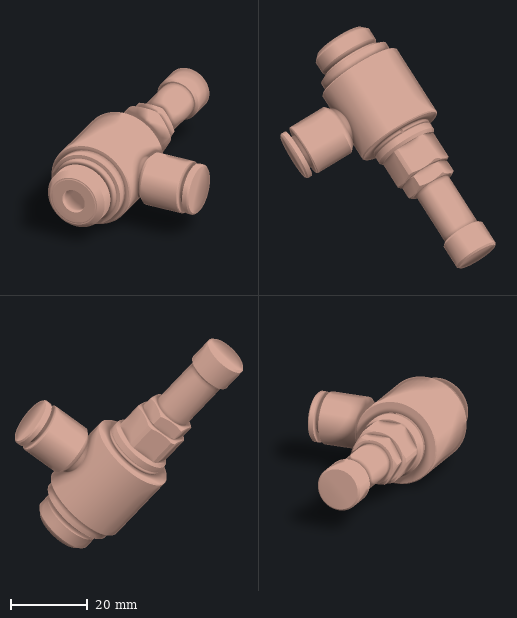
import cadquery as cq
import math


THREAD_END_Y = -20.0
THREAD_TOP_Y = -15.05
UNDERCUT_Y = -14.05
SEAL_BOTTOM_Y = -13.9
FLANGE_BOTTOM_Y = -12.9
HOUSING_BOTTOM_Y = -10.1
HOUSING_TOP_Y = 10.05
COLLAR_BOTTOM_Y = 11.4
COLLAR_TOP_Y = 14.0
LARGE_HEX_TOP_Y = 21.8
SMALL_HEX_TOP_Y = 25.8
KNOB_BOTTOM_Y = 40.5
KNOB_TOP_Y = 48.0

THREAD_DIA = 16.5
THREAD_CHAMFER = 1.5
END_LAND_BASE_DIA = 12.9
END_LAND_DIA = 12.4
END_LAND_HEIGHT = 0.1
UNDERCUT_DIA = 14.5
SEAL_DIA = 17.9
SEAL_RADIUS = FLANGE_BOTTOM_Y - SEAL_BOTTOM_Y
FLANGE_DIA = 20.0
JOURNAL_DIA = 15.9
COLLAR_DIA = 16.85
COLLAR_CHAMFER_HEIGHT = 0.8
LARGE_HEX_FLATS = 14.0
LARGE_HEX_CORNER_DIA = 15.5
SMALL_HEX_FLATS = 12.0
HEX_CHAMFER_ANGLE = 30.0
STEM_DIA = 10.0
KNOB_DIA = 12.0
KNOB_TOP_CHAMFER = 0.5
KNOB_BOTTOM_CHAMFER = 0.6
INLET_DIA = 6.5
INLET_DEPTH = 20.0

RING_DIA = COLLAR_DIA
RING_WIRE_RADIUS = (RING_DIA - JOURNAL_DIA) / 2
RING_Y = 10.65
RING_GAP = 0.6

HOUSING_DIA = 23.0
HOUSING_CHAMFER = 0.3
ARM_NECK_DIA = 11.0
ARM_DIA = 14.0
ARM_SHOULDER_X = HOUSING_DIA / 2
NECK_OVERLAP = 2.0
NECK_LENGTH = ARM_SHOULDER_X + NECK_OVERLAP
ARM_END_X = 23.5
ARM_END_CHAMFER = 0.2
ARM_JOINT_FILLET = 0.2
SLEEVE_DIA = 9.3
RELEASE_RING_DIA = 13.5
RELEASE_RING_X = 24.95
RELEASE_RING_END_X = 26.6
RELEASE_RING_CHAMFER = 0.4


def cylinder_y(diameter, start, end):
    """Cylinder on the spindle axis between two Y stations."""
    circle = cq.Workplane("XZ", origin=(0, start, 0)).circle(diameter / 2)
    return circle.extrude(start - end)


def revolve_about_y(profile):
    return profile.close().revolve(360, (0, 0, 0), (0, 1, 0))


def hexagon(flats, corner_dia, start, end, chamfer_bottom):
    """Hexagonal prism with flats facing +Z and -Z, turned to a chamfered envelope."""
    prism = (
        cq.Workplane("XZ", origin=(0, start, 0))
        .polygon(6, flats / math.cos(math.pi / 6))
        .extrude(start - end)
    )
    flat_radius = flats / 2
    corner_radius = corner_dia / 2
    chamfer_height = (corner_radius - flat_radius) * math.tan(math.radians(HEX_CHAMFER_ANGLE))
    envelope = cq.Workplane("XY").moveTo(0, start)
    if chamfer_bottom:
        envelope = envelope.lineTo(flat_radius, start).lineTo(corner_radius, start + chamfer_height)
    else:
        envelope = envelope.lineTo(corner_radius, start)
    envelope = (
        envelope.lineTo(corner_radius, end - chamfer_height)
        .lineTo(flat_radius, end)
        .lineTo(0, end)
    )
    return prism.intersect(revolve_about_y(envelope))


def turned_spindle():
    """Threaded end, seal, flange, journal and collar as one turned profile."""
    face_y = THREAD_END_Y + END_LAND_HEIGHT
    thread_radius = THREAD_DIA / 2
    undercut_radius = UNDERCUT_DIA / 2
    seal_radius = SEAL_DIA / 2
    arc_offset = SEAL_RADIUS * math.sqrt(0.5)
    seal_arc_middle = (seal_radius - SEAL_RADIUS + arc_offset, FLANGE_BOTTOM_Y - arc_offset)
    profile = (
        cq.Workplane("XY")
        .moveTo(0, THREAD_END_Y)
        .lineTo(END_LAND_DIA / 2, THREAD_END_Y)
        .lineTo(END_LAND_BASE_DIA / 2, face_y)
        .lineTo(thread_radius - THREAD_CHAMFER, face_y)
        .lineTo(thread_radius, face_y + THREAD_CHAMFER)
        .lineTo(thread_radius, THREAD_TOP_Y)
        .lineTo(undercut_radius, UNDERCUT_Y)
        .lineTo(undercut_radius, SEAL_BOTTOM_Y)
        .lineTo(seal_radius - SEAL_RADIUS, SEAL_BOTTOM_Y)
        .threePointArc(seal_arc_middle, (seal_radius, FLANGE_BOTTOM_Y))
        .lineTo(FLANGE_DIA / 2, FLANGE_BOTTOM_Y)
        .lineTo(FLANGE_DIA / 2, HOUSING_BOTTOM_Y)
        .lineTo(JOURNAL_DIA / 2, HOUSING_BOTTOM_Y)
        .lineTo(JOURNAL_DIA / 2, COLLAR_BOTTOM_Y)
        .lineTo(COLLAR_DIA / 2, COLLAR_BOTTOM_Y)
        .lineTo(COLLAR_DIA / 2, COLLAR_TOP_Y - COLLAR_CHAMFER_HEIGHT)
        .lineTo(LARGE_HEX_CORNER_DIA / 2, COLLAR_TOP_Y)
        .lineTo(0, COLLAR_TOP_Y)
    )
    return revolve_about_y(profile)


def retaining_ring():
    """Half-round ring on the journal, with a narrow gap facing +Z."""
    inner_radius = JOURNAL_DIA / 2
    profile = (
        cq.Workplane("XY")
        .moveTo(inner_radius, RING_Y - RING_WIRE_RADIUS)
        .threePointArc((RING_DIA / 2, RING_Y), (inner_radius, RING_Y + RING_WIRE_RADIUS))
    )
    ring = revolve_about_y(profile)
    ring_width = 2 * RING_WIRE_RADIUS
    gap = cq.Workplane("XY").center(0, RING_Y).rect(RING_GAP, ring_width).extrude(RING_DIA)
    return ring.cut(gap)


def adjusting_knob():
    knob = cylinder_y(KNOB_DIA, KNOB_BOTTOM_Y, KNOB_TOP_Y)
    knob = knob.faces(">Y").chamfer(KNOB_TOP_CHAMFER)
    return knob.faces("<Y").chamfer(KNOB_BOTTOM_CHAMFER)


def make_spindle():
    large_hex = hexagon(LARGE_HEX_FLATS, LARGE_HEX_CORNER_DIA, COLLAR_TOP_Y, LARGE_HEX_TOP_Y, False)
    small_hex_corners = SMALL_HEX_FLATS / math.cos(math.pi / 6)
    small_hex = hexagon(SMALL_HEX_FLATS, small_hex_corners, LARGE_HEX_TOP_Y, SMALL_HEX_TOP_Y, True)
    stem = cylinder_y(STEM_DIA, SMALL_HEX_TOP_Y, KNOB_BOTTOM_Y)
    inlet = cylinder_y(INLET_DIA, THREAD_END_Y, THREAD_END_Y + INLET_DEPTH)
    body = turned_spindle().union(retaining_ring()).union(large_hex).union(small_hex)
    return body.union(stem).union(adjusting_knob()).cut(inlet)


def outlet_arm():
    """Turned shoulder, barrel, sleeve and release ring along +X."""
    neck_radius = ARM_NECK_DIA / 2
    arm_radius = ARM_DIA / 2
    ring_radius = RELEASE_RING_DIA / 2
    return (
        cq.Workplane("XY")
        .moveTo(ARM_SHOULDER_X, 0)
        .lineTo(ARM_SHOULDER_X, neck_radius)
        .lineTo(ARM_SHOULDER_X + arm_radius - neck_radius, arm_radius)
        .lineTo(ARM_END_X - ARM_END_CHAMFER, arm_radius)
        .lineTo(ARM_END_X, arm_radius - ARM_END_CHAMFER)
        .lineTo(ARM_END_X, SLEEVE_DIA / 2)
        .lineTo(RELEASE_RING_X, SLEEVE_DIA / 2)
        .lineTo(RELEASE_RING_X, ring_radius)
        .lineTo(RELEASE_RING_END_X - RELEASE_RING_CHAMFER, ring_radius)
        .lineTo(RELEASE_RING_END_X, ring_radius - RELEASE_RING_CHAMFER)
        .lineTo(RELEASE_RING_END_X, 0)
        .close()
        .revolve(360, (0, 0, 0), (1, 0, 0))
    )


def make_housing():
    barrel = cylinder_y(HOUSING_DIA, HOUSING_BOTTOM_Y, HOUSING_TOP_Y)
    barrel = barrel.faces("<Y or >Y").chamfer(HOUSING_CHAMFER)
    neck = cq.Workplane("YZ").circle(ARM_NECK_DIA / 2).extrude(NECK_LENGTH)
    joint = cq.selectors.TypeSelector("BSPLINE")
    body = barrel.union(neck).edges(joint).fillet(ARM_JOINT_FILLET)
    bore = cylinder_y(JOURNAL_DIA, HOUSING_BOTTOM_Y, HOUSING_TOP_Y)
    return body.union(outlet_arm()).cut(bore)


spindle = make_spindle()
housing = make_housing()

result = cq.Compound.makeCompound([spindle.val(), housing.val()])